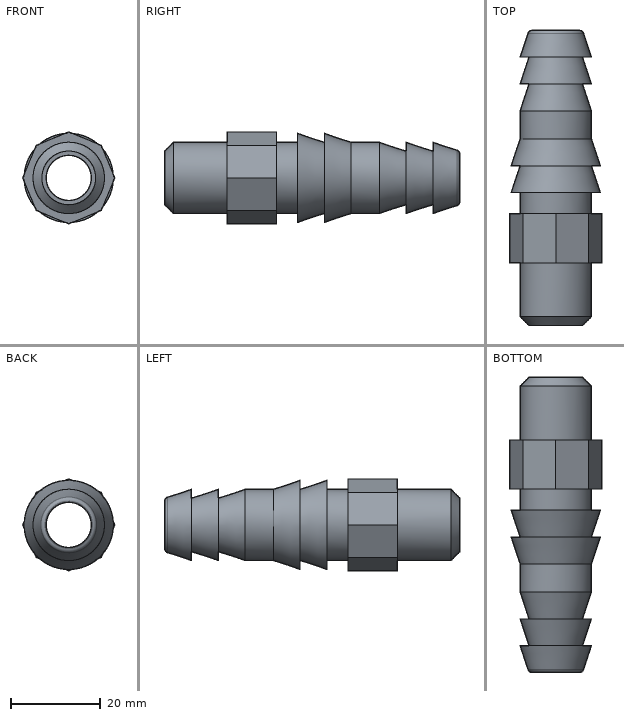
import cadquery as cq
import math

total_length = 66.0
bore_diameter = 10.0
body_radius = 16.0 / 2

mouth_radius = 12.0 / 2
mouth_chamfer_length = 2.0
spigot_length = 14.0

octagon_sides = 8
octagon_across_flats = 19.0
octagon_corner_diameter = octagon_across_flats / math.cos(math.pi / octagon_sides)
octagon_length = 11.0

barb_length = 6.0
large_barb_radius = 20.0 / 2
large_barb_start = 29.7
large_barb_count = 2
small_barb_root_radius = 12.0 / 2
small_barb_count = 3
small_barb_start = total_length - small_barb_count * barb_length
tip_round = 1.0


def barb_points(start, count, crest_radius, root_radius):
    """Radius and Y position of the corners of a row of barbs."""
    points = []
    for index in range(count):
        barb_start = start + index * barb_length
        points.append((crest_radius, barb_start))
        points.append((root_radius, barb_start + barb_length))
    return points


def make_turned_body():
    """Solid of revolution for the spigot and the two barbed hose sections."""
    outline = [(0, 0), (mouth_radius, 0), (body_radius, mouth_chamfer_length)]
    outline.append((body_radius, large_barb_start))
    outline += barb_points(large_barb_start, large_barb_count, large_barb_radius, body_radius)
    outline += barb_points(small_barb_start, small_barb_count, body_radius, small_barb_root_radius)
    outline.append((0, total_length))
    body = cq.Workplane("XY").polyline(outline).close().revolve(360, (0, 0), (0, 1))
    return body.faces(">Y").edges().fillet(tip_round)


def make_octagon():
    """Octagonal prism for the wrench."""
    return (
        cq.Workplane("XZ", origin=(0, spigot_length, 0))
        .polygon(octagon_sides, octagon_corner_diameter)
        .extrude(-octagon_length)
    )


def make_bore():
    """Through bore along the whole length."""
    return cq.Workplane("XZ").circle(bore_diameter / 2).extrude(-total_length)


result = make_turned_body().union(make_octagon()).cut(make_bore())